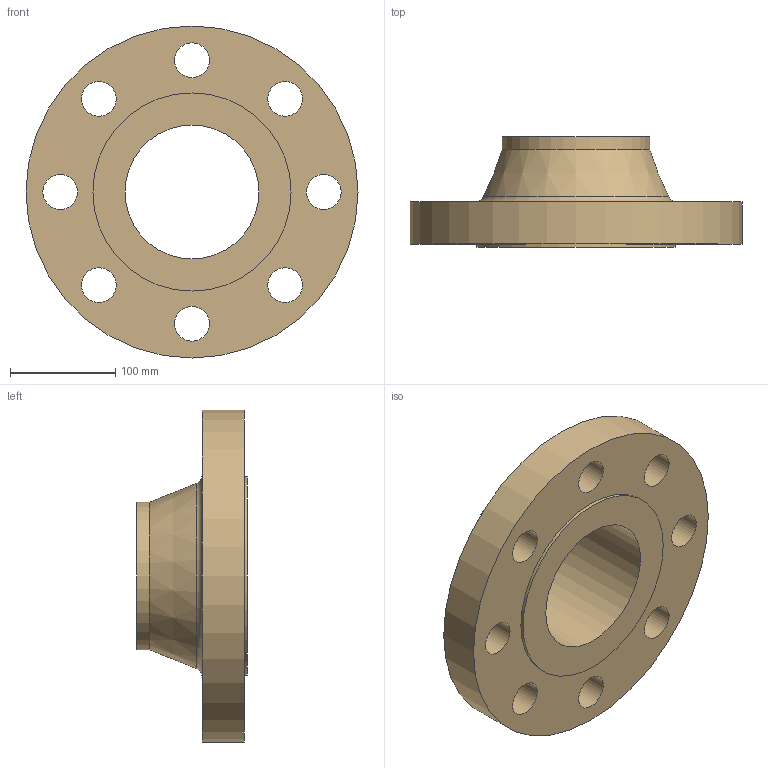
import cadquery as cq
import math

overall_length = 105.0
flange_diameter = 315.0
plate_thickness = 40.0
face_diameter = 188.0
face_height = 3.0
pipe_diameter = 139.7
weld_end_length = 12.0
hub_diameter = 180.0
hub_fillet = 8.0
bore_diameter = 127.1
bolt_circle_diameter = 250.0
bolt_hole_diameter = 33.0
bolt_hole_count = 8

flange_radius = flange_diameter / 2
face_radius = face_diameter / 2
pipe_radius = pipe_diameter / 2
hub_radius = hub_diameter / 2
bore_radius = bore_diameter / 2
flange_back = face_height + plate_thickness
cone_end = overall_length - weld_end_length


def hub_fillet_points():
    """Start, middle and end of the arc joining the flange back to the hub cone, as (Y, radius)."""
    cone_angle = math.atan2(cone_end - flange_back, hub_radius - pipe_radius)
    tangent_length = hub_fillet * math.tan(cone_angle / 2)
    center_radius = hub_radius + tangent_length
    center_y = flange_back + hub_fillet
    start = (flange_back, center_radius)
    mid_angle = -math.pi / 2 - cone_angle / 2
    middle = (
        center_y + hub_fillet * math.sin(mid_angle),
        center_radius + hub_fillet * math.cos(mid_angle),
    )
    end = (
        flange_back + tangent_length * math.sin(cone_angle),
        hub_radius - tangent_length * math.cos(cone_angle),
    )
    return start, middle, end


def flange_body():
    """Half section in the YZ plane revolved about the Y axis."""
    fillet_start, fillet_middle, fillet_end = hub_fillet_points()
    section = (
        cq.Workplane("YZ")
        .moveTo(0, bore_radius)
        .lineTo(0, face_radius)
        .lineTo(face_height, face_radius)
        .lineTo(face_height, flange_radius)
        .lineTo(flange_back, flange_radius)
        .lineTo(*fillet_start)
        .threePointArc(fillet_middle, fillet_end)
        .lineTo(cone_end, pipe_radius)
        .lineTo(overall_length, pipe_radius)
        .lineTo(overall_length, bore_radius)
        .close()
    )
    return section.revolve(360, (0, 0, 0), (1, 0, 0))


def bolt_holes():
    """Through holes on the bolt circle, one of them on the X axis."""
    return (
        cq.Workplane("XZ")
        .polarArray(bolt_circle_diameter / 2, 0, 360, bolt_hole_count)
        .circle(bolt_hole_diameter / 2)
        .extrude(-overall_length)
    )


result = flange_body().cut(bolt_holes())